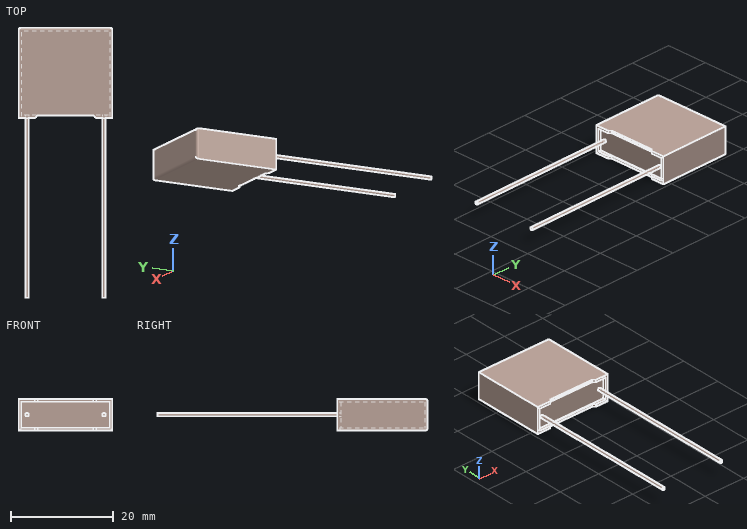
import cadquery as cq

case_width = 18.3
case_height = 6.2
total_length = 52.6
lead_length = 35.0
case_length = total_length - lead_length

wall = 0.6
back_edge_radius = 0.5
notch_depth = 0.5
notch_mouth_width = 11.9
notch_floor_width = notch_mouth_width - 2 * notch_depth

potting_recess = 0.7
lead_diameter = 0.7
lead_pitch = 15.0

rim_y = lead_length
potting_y = rim_y + potting_recess
cavity_floor_y = total_length - wall


def block(width, height, start_y, end_y):
    """Box centred on X and Z that spans start_y to end_y."""
    return cq.Workplane("XY").box(width, end_y - start_y, height).translate((0, (start_y + end_y) / 2, 0))


def make_notch():
    """Tapered cutter that lowers the rim of both broad walls."""
    return (
        cq.Workplane("XY")
        .polyline([
            (-notch_mouth_width / 2, rim_y),
            (notch_mouth_width / 2, rim_y),
            (notch_floor_width / 2, rim_y + notch_depth),
            (-notch_floor_width / 2, rim_y + notch_depth),
        ])
        .close()
        .extrude(case_height / 2, both=True)
    )


def make_case():
    """Open box with rounded back edges and a notched rim."""
    shell = block(case_width, case_height, rim_y, total_length)
    shell = shell.faces(">Y").edges().fillet(back_edge_radius)
    cavity = block(case_width - 2 * wall, case_height - 2 * wall, rim_y, cavity_floor_y)
    return shell.cut(cavity).cut(make_notch())


def make_potting():
    """Resin that fills the case cavity up to its recessed face."""
    return block(case_width - 2 * wall, case_height - 2 * wall, potting_y, cavity_floor_y)


def make_lead(x):
    """Straight round wire from its tip to the potting face."""
    return cq.Workplane("XZ").center(x, 0).circle(lead_diameter / 2).extrude(-potting_y)


case = make_case()
potting = make_potting()
leads = [make_lead(side * lead_pitch / 2) for side in (-1, 1)]

result = cq.Compound.makeCompound([case.val(), potting.val(), *[lead.val() for lead in leads]])